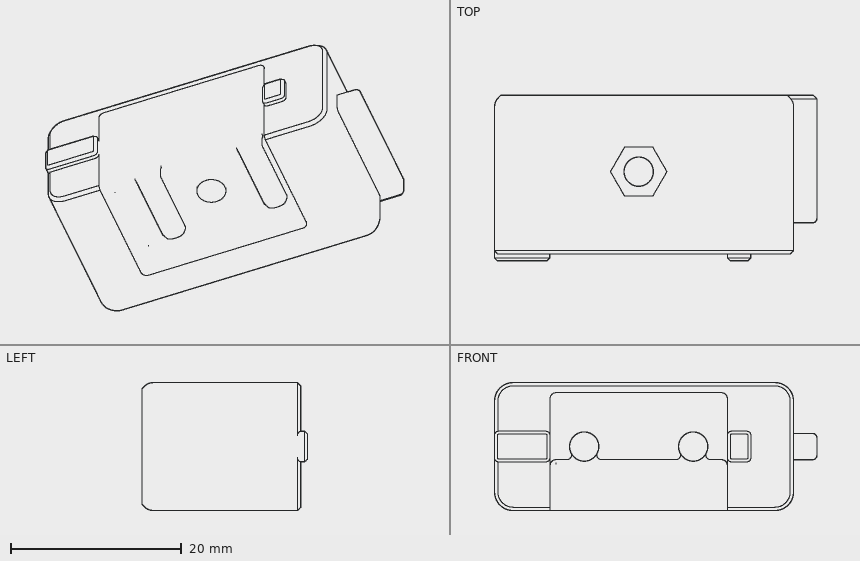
import cadquery as cq
import math

LENGTH = 35.0
DEPTH = 18.6
HEIGHT = 15.0
MID_HEIGHT = HEIGHT / 2
CORNER_RADIUS = 2.2
FRONT_CHAMFER = 0.4
REAR_CHAMFER = 0.75
REAR_ROUND = 1.5

SCREW_DIAMETER = 3.4
SCREW_Y = 9.65
HEX_SIDES = 6
NUT_FLATS = 5.72
NUT_DEPTH = 3.5

POCKET_LEFT = 6.5
POCKET_RIGHT = 27.25
POCKET_MID = (POCKET_LEFT + POCKET_RIGHT) / 2
POCKET_ROOF = 13.8
POCKET_ROUND = 0.7
UPPER_DEPTH = 5.0
NUT_BLOCK_BOTTOM = 5.97
LIP_CHAMFER = 0.7
LOWER_DEPTH = 2 * SCREW_Y - UPPER_DEPTH

CROSS_HOLE_DIAMETER = 3.4
CROSS_HOLE_SPACING = 12.75
MOUTH_ROUND = 0.55

TAB_HEIGHT = 3.6
TAB_PROTRUSION = 0.8
TAB_ROUND = 0.5
TAB_CHAMFER = 0.35
TAB_EMBED = 1.0
RIGHT_TAB_WIDTH = 2.75

RAIL_FRONT = 3.65
RAIL_PROTRUSION = 2.74
RAIL_HEIGHT = 3.1
RAIL_ROUND = 0.55
RAIL_REAR_CHAMFER = 0.45
RAIL_EMBED = 3.0

OVERSHOOT = 2.0
SELECT_MARGIN = 0.1


def box_between(x_range, y_range, z_range):
    """Box spanning the given (low, high) pairs."""
    sizes = [high - low for low, high in (x_range, y_range, z_range)]
    corner = (x_range[0], y_range[0], z_range[0])
    return cq.Workplane("XY").box(*sizes, centered=False).translate(corner)


def about_mid_height(height):
    return (MID_HEIGHT - height / 2, MID_HEIGHT + height / 2)


def make_block():
    """Rounded block with a chamfered front rim and a bevelled, rounded rear rim."""
    block = box_between((0, LENGTH), (0, DEPTH), (0, HEIGHT))
    block = block.edges("|Y").fillet(CORNER_RADIUS)
    block = block.faces(">Y").chamfer(REAR_CHAMFER)
    shoulder = DEPTH - REAR_CHAMFER
    rear_rim = cq.selectors.BoxSelector(
        (-OVERSHOOT, shoulder - SELECT_MARGIN, -OVERSHOOT),
        (LENGTH + OVERSHOOT, shoulder + SELECT_MARGIN, HEIGHT + OVERSHOOT),
    )
    block = block.edges(rear_rim).fillet(REAR_ROUND)
    return block.faces("<Y").chamfer(FRONT_CHAMFER)


def pocket_region(y_range, z_range):
    """Selector for edges centred within the pocket width and the given (low, high) pairs."""
    return cq.selectors.BoxSelector(
        (POCKET_LEFT - SELECT_MARGIN, y_range[0] - SELECT_MARGIN, z_range[0] - SELECT_MARGIN),
        (POCKET_RIGHT + SELECT_MARGIN, y_range[1] + SELECT_MARGIN, z_range[1] + SELECT_MARGIN),
    )


def cut_pocket(body):
    """Shallow upper pocket over a deeper slot, both open at the front and bottom."""
    x_range = (POCKET_LEFT, POCKET_RIGHT)
    upper = box_between(x_range, (-OVERSHOOT, UPPER_DEPTH), (-OVERSHOOT, POCKET_ROOF))
    lower = box_between(x_range, (-OVERSHOOT, LOWER_DEPTH), (-OVERSHOOT, NUT_BLOCK_BOTTOM))
    body = body.cut(upper).cut(lower)

    bottom = (NUT_BLOCK_BOTTOM, NUT_BLOCK_BOTTOM)
    lip = pocket_region((UPPER_DEPTH, UPPER_DEPTH), bottom)
    lip_surroundings = pocket_region((UPPER_DEPTH, UPPER_DEPTH), (NUT_BLOCK_BOTTOM, MID_HEIGHT))
    slot_corner = pocket_region((LOWER_DEPTH, LOWER_DEPTH), bottom)
    inside = pocket_region((FRONT_CHAMFER, LOWER_DEPTH), (2 * SELECT_MARGIN, POCKET_ROOF))
    body = body.edges(inside - lip_surroundings - slot_corner).fillet(POCKET_ROUND)
    return body.edges(lip).chamfer(LIP_CHAMFER)


def cut_cross_holes(body):
    """Front-to-back holes that break out through the underside of the nut block."""
    holes = (
        cq.Workplane("XZ", origin=(POCKET_MID, 0, MID_HEIGHT))
        .rarray(CROSS_HOLE_SPACING, 1, 2, 1)
        .circle(CROSS_HOLE_DIAMETER / 2)
        .extrude(-(DEPTH + OVERSHOOT))
    )
    return body.cut(holes)


def round_hole_mouths(body):
    """Round the cross-hole edges together with the block lip and slot corner they cut."""
    hole_radius = CROSS_HOLE_DIAMETER / 2
    lip = pocket_region(
        (UPPER_DEPTH, UPPER_DEPTH + LIP_CHAMFER),
        (NUT_BLOCK_BOTTOM, NUT_BLOCK_BOTTOM + LIP_CHAMFER),
    )
    slot_corner = pocket_region((LOWER_DEPTH, LOWER_DEPTH), (NUT_BLOCK_BOTTOM, NUT_BLOCK_BOTTOM))
    rounded = lip + slot_corner
    for side in (-1, 1):
        hole_x = POCKET_MID + side * CROSS_HOLE_SPACING / 2
        reach = hole_radius + SELECT_MARGIN
        rounded = rounded + cq.selectors.BoxSelector(
            (hole_x - reach, UPPER_DEPTH - SELECT_MARGIN, MID_HEIGHT - reach),
            (hole_x + reach, LOWER_DEPTH + SELECT_MARGIN, MID_HEIGHT + reach),
        )
    return body.edges(rounded).fillet(MOUTH_ROUND)


def cut_nut_and_screw(body):
    """Hexagonal nut recess in the top face over a screw hole down to the slot."""
    top = cq.Workplane("XY", origin=(POCKET_MID, SCREW_Y, HEIGHT))
    nut = top.polygon(HEX_SIDES, NUT_FLATS / math.cos(math.pi / HEX_SIDES)).extrude(-NUT_DEPTH)
    screw = top.circle(SCREW_DIAMETER / 2).extrude(-(HEIGHT + OVERSHOOT))
    return body.cut(nut).cut(screw)


def make_tab(x_range):
    """Front tab with rounded corners and a chamfered tip, rooted inside the block."""
    tab = box_between(x_range, (-TAB_PROTRUSION, TAB_EMBED), about_mid_height(TAB_HEIGHT))
    return tab.edges("|Y").fillet(TAB_ROUND).faces("<Y").chamfer(TAB_CHAMFER)


def make_rail():
    """Side rail with rounded edges, chamfered at the rear end."""
    x_range = (LENGTH - RAIL_EMBED, LENGTH + RAIL_PROTRUSION)
    rail = box_between(x_range, (RAIL_FRONT, DEPTH), about_mid_height(RAIL_HEIGHT))
    rail = rail.edges("|Y or <Y or (>X and |Z)").edges("not >Y").fillet(RAIL_ROUND)
    return rail.faces(">Y").chamfer(RAIL_REAR_CHAMFER)


body = make_block()
body = cut_pocket(body)
body = cut_cross_holes(body)
body = round_hole_mouths(body)
body = cut_nut_and_screw(body)
body = body.union(make_tab((0, POCKET_LEFT)))
body = body.union(make_tab((POCKET_RIGHT, POCKET_RIGHT + RIGHT_TAB_WIDTH)))
result = body.union(make_rail())